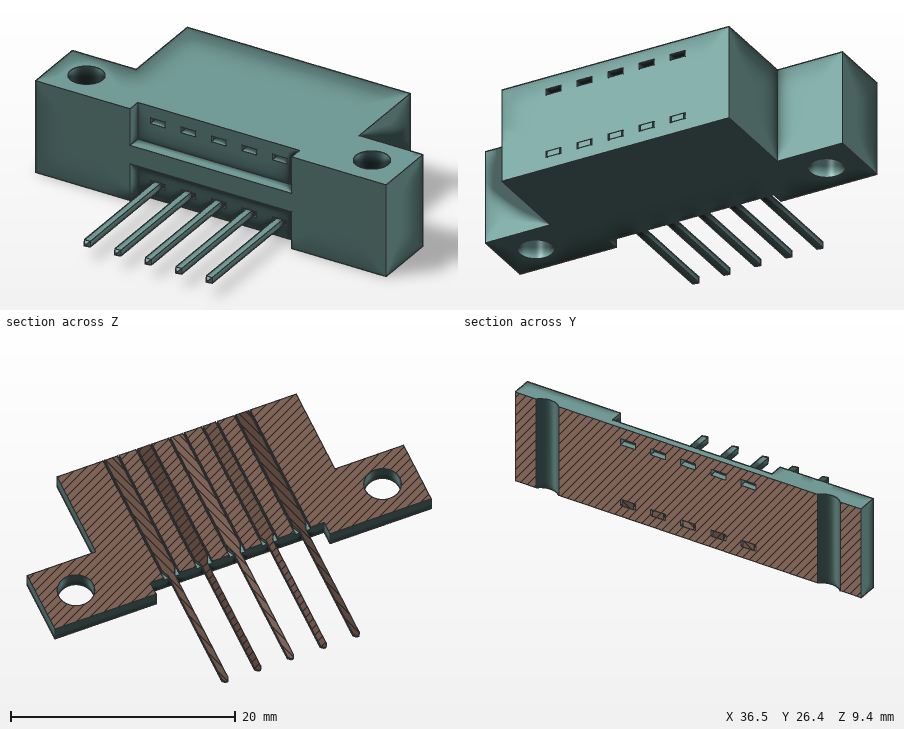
import cadquery as cq

flange_length = 36.45
flange_depth = 6.38
nose_length = 23.2
nose_depth = 8.85
height = 9.4
housing_depth = flange_depth + nose_depth

hole_spacing = 29.67
hole_diameter = 3.3

recess_length = 16.8
recess_depth = 1.35
rib_height = 1.9
recess_height = (height - rib_height) / 2

contact_count = 5
contact_pitch = 3.17
row_spacing = 6.4
slot_width = 1.53
slot_height = 0.6

pin_width = 0.62
pin_height = slot_height
pin_projection = 11.2
pin_tip_length = 0.35
pin_tip_scale = 0.35
blade_width = 1.25
flare_setback = 0.07
flare_length = 0.65

contact_positions = [(i - (contact_count - 1) / 2) * contact_pitch for i in range(contact_count)]


def make_box(length, depth, tall, front_y, center_z):
    """Box centred on X = 0 that starts at front_y and is centred on center_z."""
    return (
        cq.Workplane("XY")
        .box(length, depth, tall, centered=(True, False, True))
        .translate((0, front_y, center_z))
    )


def make_housing():
    flange = make_box(flange_length, flange_depth, height, 0, 0)
    nose = make_box(nose_length, housing_depth, height, 0, 0)
    body = flange.union(nose)

    mounting_holes = (
        cq.Workplane("XY")
        .pushPoints([(side * hole_spacing / 2, flange_depth / 2) for side in (-1, 1)])
        .circle(hole_diameter / 2)
        .extrude(height / 2, both=True)
    )
    body = body.cut(mounting_holes)

    slot = make_box(slot_width, housing_depth, slot_height, 0, 0)
    for side in (-1, 1):
        recess_z = side * (rib_height + recess_height) / 2
        body = body.cut(make_box(recess_length, recess_depth, recess_height, 0, recess_z))
        for x in contact_positions:
            body = body.cut(slot.translate((x, 0, side * row_spacing / 2)))
    return body


def make_pin(x):
    """Pin with a tapered tip in front and a wide blade that runs to the back of its slot."""
    shank_front = pin_tip_length - pin_projection
    flare_front = recess_depth + flare_setback
    blade_front = flare_front + flare_length
    right_side = [
        (pin_width / 2, shank_front),
        (pin_width / 2, flare_front),
        (blade_width / 2, blade_front),
        (blade_width / 2, housing_depth),
    ]
    left_side = [(-side_x, y) for side_x, y in reversed(right_side)]
    strip = (
        cq.Workplane("XY", origin=(0, 0, -pin_height / 2))
        .polyline(right_side + left_side)
        .close()
        .extrude(pin_height)
    )
    tip = (
        cq.Workplane("XZ", origin=(0, shank_front, 0))
        .rect(pin_width, pin_height)
        .workplane(offset=pin_tip_length)
        .rect(pin_width * pin_tip_scale, pin_height * pin_tip_scale)
        .loft(ruled=True)
    )
    return strip.union(tip).translate((x, 0, -row_spacing / 2))


housing = make_housing()
pins = [make_pin(x) for x in contact_positions]

result = cq.Compound.makeCompound([housing.val(), *[pin.val() for pin in pins]])